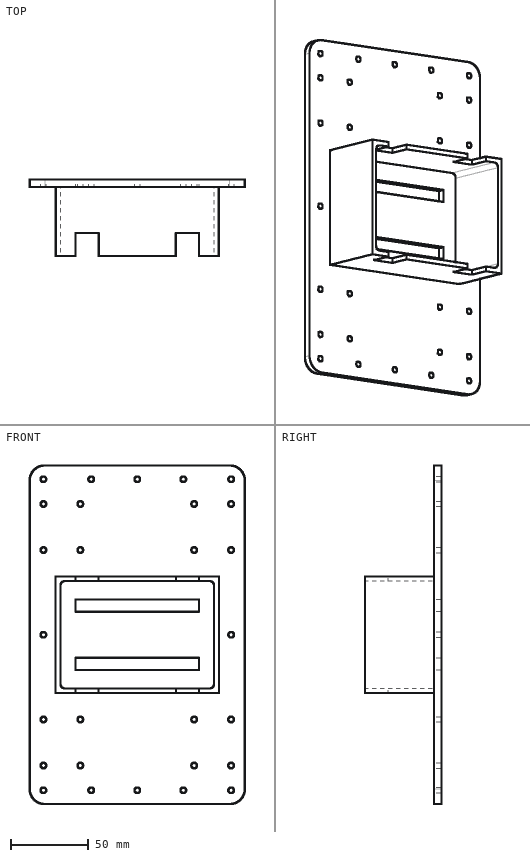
import cadquery as cq

TOTAL_DEPTH = 50.0

PLATE_WIDTH = 140.0
PLATE_HEIGHT = 220
PLATE_THICKNESS = 5.0
PLATE_CORNER_RADIUS = 10.0

BOX_WIDTH = 106.0
BOX_HEIGHT = 76.0
BOX_DEPTH = TOTAL_DEPTH - PLATE_THICKNESS
BOX_WALL = 3.0
CAVITY_CORNER_RADIUS = 3.0

NOTCH_WIDTH = 15.0
NOTCH_DEPTH = 15.0
NOTCH_OFFSET = 32.5

SLOT_LENGTH = 80.0
SLOT_HEIGHT = 8.0
SLOT_OFFSET = 19.0

HOLE_DIAMETER = 3.5
EDGE_COLUMN = 61.0
EDGE_ROW = 101.0
EDGE_ROW_COLUMN = 30.0
INNER_COLUMN = 37.0
OUTER_INNER_ROW = 85.0
NEAR_INNER_ROW = 55


def front_plane(y):
    """Work plane at the given Y, facing -Y, with local x along X and local y along Z."""
    return cq.Workplane("XZ", origin=(0, y, 0))


def mirrored(x, z):
    """The distinct points (±x, ±z)."""
    return sorted({(sx * x, sz * z) for sx in (-1, 1) for sz in (-1, 1)})


def make_plate():
    return (
        front_plane(PLATE_THICKNESS)
        .rect(PLATE_WIDTH, PLATE_HEIGHT)
        .extrude(PLATE_THICKNESS)
        .edges("|Y")
        .fillet(PLATE_CORNER_RADIUS)
    )


def make_box():
    outer = front_plane(0).rect(BOX_WIDTH, BOX_HEIGHT).extrude(BOX_DEPTH)
    cavity = (
        front_plane(0)
        .rect(BOX_WIDTH - 2 * BOX_WALL, BOX_HEIGHT - 2 * BOX_WALL)
        .extrude(BOX_DEPTH)
        .edges("|Y")
        .fillet(CAVITY_CORNER_RADIUS)
    )
    notches = (
        front_plane(NOTCH_DEPTH - BOX_DEPTH)
        .pushPoints(mirrored(NOTCH_OFFSET, 0))
        .rect(NOTCH_WIDTH, BOX_HEIGHT)
        .extrude(NOTCH_DEPTH)
    )
    return outer.cut(cavity).cut(notches)


def make_slots():
    return (
        front_plane(PLATE_THICKNESS)
        .pushPoints(mirrored(0, SLOT_OFFSET))
        .rect(SLOT_LENGTH, SLOT_HEIGHT)
        .extrude(PLATE_THICKNESS)
    )


def make_holes():
    points = mirrored(0, EDGE_ROW) + mirrored(EDGE_COLUMN, 0)
    points += mirrored(EDGE_ROW_COLUMN, EDGE_ROW) + mirrored(EDGE_COLUMN, EDGE_ROW)
    for row in (OUTER_INNER_ROW, NEAR_INNER_ROW):
        for column in (INNER_COLUMN, EDGE_COLUMN):
            points += mirrored(column, row)
    return (
        front_plane(PLATE_THICKNESS)
        .pushPoints(points)
        .circle(HOLE_DIAMETER / 2)
        .extrude(PLATE_THICKNESS)
    )


result = make_plate().union(make_box()).cut(make_slots()).cut(make_holes())